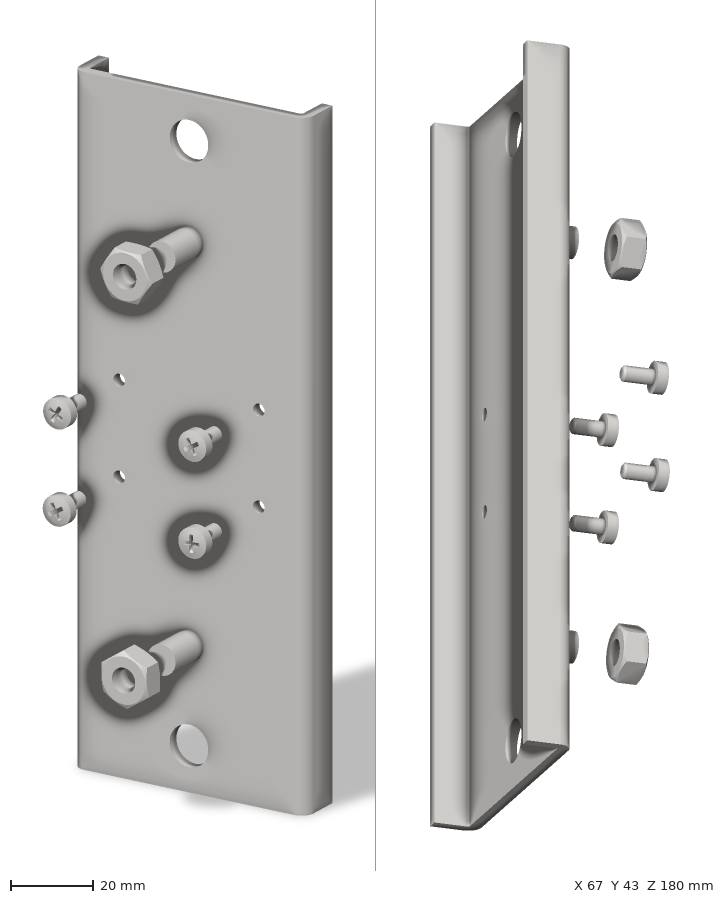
import cadquery as cq
import math

plate_width = 67.0
plate_height = 180.0
plate_depth = 12.0
sheet = 3.0
bend_inner_radius = 0.5
bend_outer_radius = bend_inner_radius + sheet
mount_hole_diameter = 11.0
mount_hole_z = 78.0

stud_diameter = 8.0
stud_length = 12.5
stud_z = 52.0
nut_flats = 13.0
nut_height = 6.5
nut_bore = 6.65
nut_chamfer_angle = 30.0
nut_face_diameter = 0.95 * nut_flats

screw_diameter = 4.0
screw_length = 8.0
screw_tip_chamfer = 0.5
head_diameter = 8.0
head_side_height = 2.8
head_height = 3.5
recess_span = 5.2
recess_slot = 1.1
recess_depth = 1.8
screw_x = 20.0
screw_z = 12.5
tap_hole_diameter = 3.3

nut_places = [
    (stud_z, -22.8, 4.0),
    (-stud_z, -23.3, 26.0),
]
screw_places = [
    (-screw_x, screw_z, -25.5, 30.0),
    (-screw_x, -screw_z, -25.7, 60.0),
    (screw_x, screw_z, -27.54, -30.0),
    (screw_x, -screw_z, -27.54, 0.0),
]


def cylinder_along_y(diameter, y_start, y_end, x=0.0, z=0.0):
    base = cq.Vector(x, y_start, z)
    axis = cq.Vector(0, y_end - y_start, 0)
    return cq.Workplane(cq.Solid.makeCylinder(diameter / 2, abs(y_end - y_start), base, axis))


def make_plate():
    outer = cq.Workplane("XY").box(plate_width, plate_depth, plate_height, centered=(True, False, True))
    outer = outer.edges("|Z and <Y").fillet(bend_outer_radius)
    inner = (
        cq.Workplane("XY")
        .box(plate_width - 2 * sheet, plate_depth, plate_height, centered=(True, False, True))
        .edges("|Z and <Y")
        .fillet(bend_inner_radius)
        .translate((0, sheet, 0))
    )
    plate = outer.cut(inner)
    for z in (mount_hole_z, -mount_hole_z):
        plate = plate.cut(cylinder_along_y(mount_hole_diameter, 0, sheet, 0, z))
    for x, z, _, _ in screw_places:
        plate = plate.cut(cylinder_along_y(tap_hole_diameter, 0, sheet, x, z))
    return plate


def make_stud(z):
    return cylinder_along_y(stud_diameter, 0, -stud_length, 0, z)


def make_nut(z, y_back, roll):
    corner_diameter = nut_flats / math.cos(math.pi / 6)
    corner_radius = corner_diameter / 2
    face_radius = nut_face_diameter / 2
    chamfer = (corner_radius - face_radius) * math.tan(math.radians(nut_chamfer_angle))
    body = cq.Workplane("XZ").polygon(6, corner_diameter).extrude(nut_height)
    turned = (
        cq.Workplane("XY")
        .polyline([
            (nut_bore / 2, 0),
            (face_radius, 0),
            (corner_radius, -chamfer),
            (corner_radius, chamfer - nut_height),
            (face_radius, -nut_height),
            (nut_bore / 2, -nut_height),
        ])
        .close()
        .revolve(360, (0, 0, 0), (0, 1, 0))
    )
    return body.intersect(turned).rotate((0, 0, 0), (0, 1, 0), roll).translate((0, y_back, z))


def make_screw(x, z, y_seat, roll):
    shank_radius = screw_diameter / 2
    head_radius = head_diameter / 2
    dome_rise = head_height - head_side_height
    dome_radius = (head_radius**2 + dome_rise**2) / (2 * dome_rise)
    mid_x = head_radius / 2
    mid_y = -head_height + dome_radius - math.sqrt(dome_radius**2 - mid_x**2)
    screw = (
        cq.Workplane("XY")
        .moveTo(0, screw_length)
        .lineTo(shank_radius - screw_tip_chamfer, screw_length)
        .lineTo(shank_radius, screw_length - screw_tip_chamfer)
        .lineTo(shank_radius, 0)
        .lineTo(head_radius, 0)
        .lineTo(head_radius, -head_side_height)
        .threePointArc((mid_x, mid_y), (0, -head_height))
        .close()
        .revolve(360, (0, 0, 0), (0, 1, 0))
    )
    slot = (
        cq.Workplane("XY", origin=(0, -head_height, -recess_slot / 2))
        .polyline([
            (-recess_span / 2, 0),
            (recess_span / 2, 0),
            (recess_slot / 2, recess_depth),
            (-recess_slot / 2, recess_depth),
        ])
        .close()
        .extrude(recess_slot)
    )
    for turn in (0, 90):
        screw = screw.cut(slot.rotate((0, 0, 0), (0, 1, 0), turn))
    return screw.rotate((0, 0, 0), (0, 1, 0), roll).translate((x, y_seat, z))


plate = make_plate()
studs = [make_stud(z) for z in (stud_z, -stud_z)]
nuts = [make_nut(*place) for place in nut_places]
screws = [make_screw(*place) for place in screw_places]

bodies = [plate, *studs, *nuts, *screws]
result = cq.Compound.makeCompound([body.val() for body in bodies])